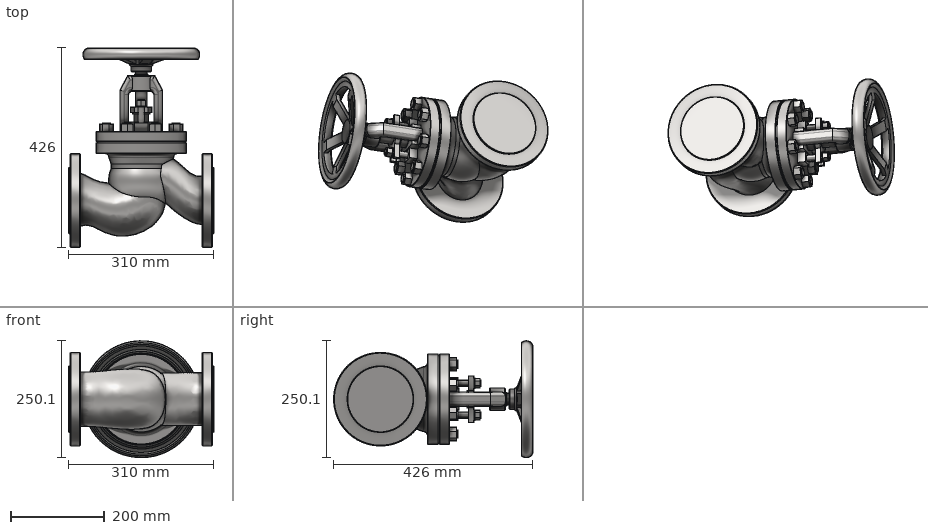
import cadquery as cq
import math


FACE_TO_FACE = 310.0
PIPE_FLANGE_RADIUS = 100.0
PIPE_FLANGE_THICKNESS = 21.7
RAISED_FACE_RADIUS = 71.0
RAISED_FACE_HEIGHT = 3.0
RAISED_FACE_CHAMFER = 1.3
PIPE_FLANGE_CHAMFER = 1.5

JOINT_RADIUS = 96.5
JOINT_CHAMFER = 1.0
BODY_FLANGE_BOTTOM = 100.5
BODY_FLANGE_TOP = 123.5
GASKET_RADIUS = 94.5
BONNET_BOTTOM = 126.5
BONNET_TOP = 148.0

NUT_COUNT = 8
NUT_CIRCLE_RADIUS = 80.5
NUT_CORNERS = 29.5
NUT_HEIGHT = 15.5
STUD_DIAMETER = 18.0
STUD_TIP = 2.5

CHAMBER_RADIUS = 70.3
CHAMBER_CENTRE = 40.5
NECK_RADIUS = 64.5
NECK_TOP_RADIUS = 69.5
NECK_TAPER_BOTTOM = 78.0
NECK_FILLET = 8.5

YOKE_TOP = 267.0
YOKE_BOTTOM = 233.0
BOSS_RADIUS = 24.3
BOSS_CHAMFER = 2.0
ARM_OUTER = 45.5
ARM_INNER = 27.0
ARM_SHOULDER = 235.5
ARM_TOP_OUTER = 29.0
ARM_DEPTH = 30.5
ARM_ROUND = 9.0
ARM_CORNER_RADIUS = 7.0
YOKE_BASE_LENGTH = 72.5
YOKE_BASE_WIDTH = 47.0
YOKE_BASE_TOP = 168.3

STUFFING_BOX_RADIUS = 15.8
STEM_RADIUS = 12.8
GLAND_BOTTOM = 188.0
GLAND_TOP = 199.8
GLAND_DISC_RADIUS = 23.0
GLAND_WIDTH = 28.0
GLAND_LENGTH = 99.5
GLAND_SKIRT_RADIUS = 18.5
GLAND_SKIRT_HEIGHT = 3.0
GLAND_STUD_OFFSET = 34.0
GLAND_STUD_DIAMETER = 13.5
GLAND_STUD_TOP = 215.5
GLAND_NUT_CORNERS = 21.5
GLAND_NUT_TOP = 213.5
WASHER_DIAMETER = 22.0
WASHER_HEIGHT = 2.5
STUD_BLOCK_WIDTH = 29.0
STUD_BLOCK_LENGTH = 92.0
STUD_BLOCK_TOP = 165.5

WHEEL_RADIUS = 125.0
WHEEL_TOP = 326.0
WHEEL_BOTTOM = 301.5
WHEEL_MIDDLE = 313.0
RIM_TOP_RADIUS = 115.0
RIM_BOTTOM_RADIUS = 121.0
RIM_LIP_RADIUS = 117.5
GROOVE_OUTER_RADIUS = 113.7
GROOVE_INNER_RADIUS = 106.5
GROOVE_FLOOR = 313.0
RING_OUTER_RADIUS = 102.2
RING_EDGE_RADIUS = 98.5
RING_INNER_RADIUS = 94.5
RING_BOTTOM = 302.5
RING_TOP = 321.0
RING_CHAMFER_HEIGHT = 3.5
SPOKE_COUNT = 5
SPOKE_WIDTH = 24.0
SPOKE_THICKNESS = 8.5
SPOKE_BEND_RADIUS = 79.0
SPOKE_ROOT = 288.0
SPOKE_END = 312.5
HUB_RADIUS = 22.0
HUB_FLARE_RADIUS = 25.5
HUB_BOTTOM = 275.0
HUB_CHAMFER = 2.0
HUB_FLARE_BOTTOM = 286.2
HUB_FLARE_TOP = 290.5
HUB_TOP = 305.0
BUSH_RADIUS = 14.0
BUSH_HEIGHT = 4.0
BUSH_CHAMFER = 1.3

OVERLAP = 2.0


def plane_at(y):
    """Plane facing +Y at height y; its local x is X and its local y is -Z."""
    return cq.Workplane(cq.Plane((0, y, 0), (1, 0, 0), (0, 1, 0)))


def disc(radius, bottom, top):
    return plane_at(bottom).circle(radius).extrude(top - bottom)


def block(length_x, length_z, bottom, top):
    return plane_at(bottom).rect(length_x, length_z).extrude(top - bottom)


def turned(profile):
    """Turn a closed sketch of the X-Y plane around the stem axis."""
    return profile.close().revolve(360, (0, 0, 0), (0, 1, 0))


def pipe_flange(side):
    plane = cq.Plane((side * FACE_TO_FACE / 2, 0, 0), (0, 1, 0), (-side, 0, 0))
    face = (
        cq.Workplane(plane).circle(RAISED_FACE_RADIUS).extrude(PIPE_FLANGE_THICKNESS)
        .edges().chamfer(RAISED_FACE_CHAMFER)
    )
    rim = (
        cq.Workplane(plane).workplane(offset=RAISED_FACE_HEIGHT)
        .circle(PIPE_FLANGE_RADIUS).extrude(PIPE_FLANGE_THICKNESS)
        .edges().chamfer(PIPE_FLANGE_CHAMFER)
    )
    return face.union(rim)


def passage(sections):
    """Loft ellipses, each given by its top and bottom (x, y) and its half width along Z."""
    wires = []
    for top, bottom, half_width in sections:
        rise = cq.Vector(top[0] - bottom[0], top[1] - bottom[1], 0)
        centre = cq.Vector((top[0] + bottom[0]) / 2, (top[1] + bottom[1]) / 2, 0)
        plane = cq.Plane(centre, rise, rise.cross(cq.Vector(0, 0, 1)))
        wires += cq.Workplane(plane).ellipse(rise.Length / 2, half_width).wires().vals()
    return cq.Workplane(cq.Solid.makeLoft(wires))


INLET_SECTIONS = [
    ((-134.0, 58.8), (-134.0, -56.2), 58.5),
    ((-115.0, 52.0), (-113.5, -53.2), 58.5),
    ((-77.5, 38.5), (-81.8, -67.0), 60.5),
    ((-44.7, 40.0), (-37.0, -76.2), 64.0),
    ((-34.0, 44.5), (16.5, -59.0), 64.5),
    ((-21.5, 41.7), (47.5, -21.5), 60.0),
    ((-21.5, 43.5), (53.0, 4.3), 51.0),
]

OUTLET_SECTIONS = [
    ((134.0, 53.5), (134.0, -52.0), 56.5),
    ((119.3, 52.5), (115.0, -48.5), 56.5),
    ((96.0, 66.5), (81.0, -30.0), 56.5),
    ((47.0, 96.0), (34.0, 8.5), 56.0),
]


def chamber():
    neck_bottom = CHAMBER_CENTRE + math.sqrt(CHAMBER_RADIUS ** 2 - NECK_RADIUS ** 2)
    foot_radius = NECK_TOP_RADIUS + NECK_FILLET
    fillet_middle = NECK_FILLET * math.sqrt(0.5)
    profile = (
        cq.Workplane("XY").moveTo(0, CHAMBER_CENTRE - CHAMBER_RADIUS)
        .threePointArc((CHAMBER_RADIUS, CHAMBER_CENTRE), (NECK_RADIUS, neck_bottom))
        .lineTo(NECK_RADIUS, NECK_TAPER_BOTTOM)
        .lineTo(NECK_TOP_RADIUS, BODY_FLANGE_BOTTOM - NECK_FILLET)
        .threePointArc(
            (foot_radius - fillet_middle, BODY_FLANGE_BOTTOM - NECK_FILLET + fillet_middle),
            (foot_radius, BODY_FLANGE_BOTTOM),
        )
        .lineTo(foot_radius, BODY_FLANGE_TOP)
        .lineTo(0, BODY_FLANGE_TOP)
    )
    return turned(profile)


def bonnet_joint():
    lower = disc(JOINT_RADIUS, BODY_FLANGE_BOTTOM, BODY_FLANGE_TOP).edges().chamfer(JOINT_CHAMFER)
    upper = disc(JOINT_RADIUS, BONNET_BOTTOM, BONNET_TOP).edges().chamfer(JOINT_CHAMFER)
    gasket = disc(GASKET_RADIUS, BODY_FLANGE_TOP - OVERLAP, BONNET_BOTTOM + OVERLAP)
    return lower.union(gasket).union(upper)


def bonnet_nuts():
    seat = BONNET_TOP - OVERLAP
    nut = plane_at(seat).polygon(6, NUT_CORNERS).extrude(NUT_HEIGHT + OVERLAP)
    tip = disc(STUD_DIAMETER / 2, seat, BONNET_TOP + NUT_HEIGHT + STUD_TIP)
    fastener = (
        nut.rotate((0, 0, 0), (0, 1, 0), 30).union(tip).translate((NUT_CIRCLE_RADIUS, 0, 0))
    )
    pitch = 360 / NUT_COUNT
    nuts = cq.Workplane("XY")
    for i in range(NUT_COUNT):
        nuts = nuts.add(fastener.rotate((0, 0, 0), (0, 1, 0), (i + 0.5) * pitch))
    return nuts.combine()


def yoke():
    boss = disc(BOSS_RADIUS, YOKE_BOTTOM, YOKE_TOP).edges().chamfer(BOSS_CHAMFER)
    root = BONNET_TOP - OVERLAP
    arm = (
        cq.Workplane("XY").workplane(offset=-ARM_DEPTH / 2)
        .moveTo(ARM_OUTER, root)
        .lineTo(ARM_OUTER, ARM_SHOULDER)
        .lineTo(ARM_TOP_OUTER, YOKE_TOP)
        .lineTo(0, YOKE_TOP)
        .lineTo(0, YOKE_BOTTOM)
        .lineTo(ARM_INNER, YOKE_BOTTOM)
        .lineTo(ARM_INNER, root)
        .close().extrude(ARM_DEPTH)
    )
    corner = cq.selectors.NearestToPointSelector((ARM_INNER, YOKE_BOTTOM, 0))
    arm = arm.edges(corner).fillet(ARM_CORNER_RADIUS)
    arm = arm.faces("<Z or >Z").edges("not(<X or <Y)").fillet(ARM_ROUND)
    base = block(YOKE_BASE_LENGTH, YOKE_BASE_WIDTH, root, YOKE_BASE_TOP)
    return boss.union(arm).union(arm.mirror("YZ")).union(base)


def gland():
    flange = disc(GLAND_DISC_RADIUS, GLAND_BOTTOM, GLAND_TOP)
    flange = flange.union(block(GLAND_WIDTH, GLAND_LENGTH, GLAND_BOTTOM, GLAND_TOP))
    skirt = disc(GLAND_SKIRT_RADIUS, GLAND_BOTTOM - GLAND_SKIRT_HEIGHT, GLAND_BOTTOM)
    stuffing_box = disc(STUFFING_BOX_RADIUS, BONNET_TOP, GLAND_BOTTOM)
    block_base = block(STUD_BLOCK_WIDTH, STUD_BLOCK_LENGTH, BONNET_TOP - OVERLAP, STUD_BLOCK_TOP)
    body = flange.union(skirt).union(stuffing_box).union(block_base)

    slot_length = GLAND_LENGTH / 2 - GLAND_STUD_OFFSET
    slot = block(GLAND_STUD_DIAMETER, slot_length, GLAND_BOTTOM, GLAND_TOP)
    stud = disc(GLAND_STUD_DIAMETER / 2, BONNET_TOP, GLAND_STUD_TOP)
    washer = disc(WASHER_DIAMETER / 2, GLAND_TOP, GLAND_TOP + WASHER_HEIGHT)
    nut = plane_at(GLAND_TOP).polygon(6, GLAND_NUT_CORNERS).extrude(GLAND_NUT_TOP - GLAND_TOP)
    nut = nut.rotate((0, 0, 0), (0, 1, 0), 90)
    fastener = stud.union(washer).union(nut)
    for side in (-1, 1):
        slot_centre = side * (GLAND_STUD_OFFSET + slot_length / 2)
        body = body.cut(slot.translate((0, 0, slot_centre)))
        body = body.union(fastener.translate((0, 0, side * GLAND_STUD_OFFSET)))
    return body


def rim():
    profile = (
        cq.Workplane("XY").moveTo(RING_INNER_RADIUS, RING_BOTTOM + RING_CHAMFER_HEIGHT)
        .lineTo(RING_EDGE_RADIUS, RING_BOTTOM)
        .lineTo(RING_OUTER_RADIUS, RING_BOTTOM)
        .lineTo(GROOVE_INNER_RADIUS, GROOVE_FLOOR)
        .lineTo(GROOVE_OUTER_RADIUS, GROOVE_FLOOR)
        .lineTo(RIM_LIP_RADIUS, WHEEL_BOTTOM)
        .lineTo(RIM_BOTTOM_RADIUS, WHEEL_BOTTOM)
        .threePointArc((WHEEL_RADIUS, WHEEL_MIDDLE), (RIM_TOP_RADIUS, WHEEL_TOP))
        .lineTo(GROOVE_OUTER_RADIUS, WHEEL_TOP)
        .lineTo(GROOVE_INNER_RADIUS, RING_TOP)
        .lineTo(RING_INNER_RADIUS, RING_TOP)
    )
    return turned(profile)


def spokes():
    inner = STEM_RADIUS
    outer = RING_INNER_RADIUS + OVERLAP
    spoke = (
        cq.Workplane("XY").workplane(offset=-SPOKE_WIDTH / 2)
        .moveTo(inner, SPOKE_ROOT)
        .lineTo(SPOKE_BEND_RADIUS, SPOKE_END)
        .lineTo(outer, SPOKE_END)
        .lineTo(outer, SPOKE_END + SPOKE_THICKNESS)
        .lineTo(SPOKE_BEND_RADIUS, SPOKE_END + SPOKE_THICKNESS)
        .lineTo(inner, SPOKE_ROOT + SPOKE_THICKNESS)
        .close().extrude(SPOKE_WIDTH)
    )
    star = cq.Workplane("XY")
    for i in range(SPOKE_COUNT):
        star = star.add(spoke.rotate((0, 0, 0), (0, 1, 0), i * 360 / SPOKE_COUNT))
    return star.combine()


def hub():
    profile = (
        cq.Workplane("XY").moveTo(0, HUB_BOTTOM)
        .lineTo(HUB_RADIUS - HUB_CHAMFER, HUB_BOTTOM)
        .lineTo(HUB_RADIUS, HUB_BOTTOM + HUB_CHAMFER)
        .lineTo(HUB_RADIUS, HUB_FLARE_BOTTOM)
        .lineTo(HUB_FLARE_RADIUS, HUB_FLARE_TOP)
        .lineTo(HUB_FLARE_RADIUS, HUB_TOP)
        .lineTo(0, HUB_TOP)
    )
    return turned(profile)


def stem():
    bush = (
        disc(BUSH_RADIUS, YOKE_TOP - OVERLAP, YOKE_TOP + BUSH_HEIGHT)
        .edges(">Y").chamfer(BUSH_CHAMFER)
    )
    return disc(STEM_RADIUS, GLAND_BOTTOM, HUB_TOP).union(bush)


result = chamber().union(passage(INLET_SECTIONS)).union(passage(OUTLET_SECTIONS))
result = result.union(pipe_flange(-1)).union(pipe_flange(1))
for assembly in (bonnet_joint, bonnet_nuts, yoke, gland, stem, hub, spokes, rim):
    result = result.union(assembly())